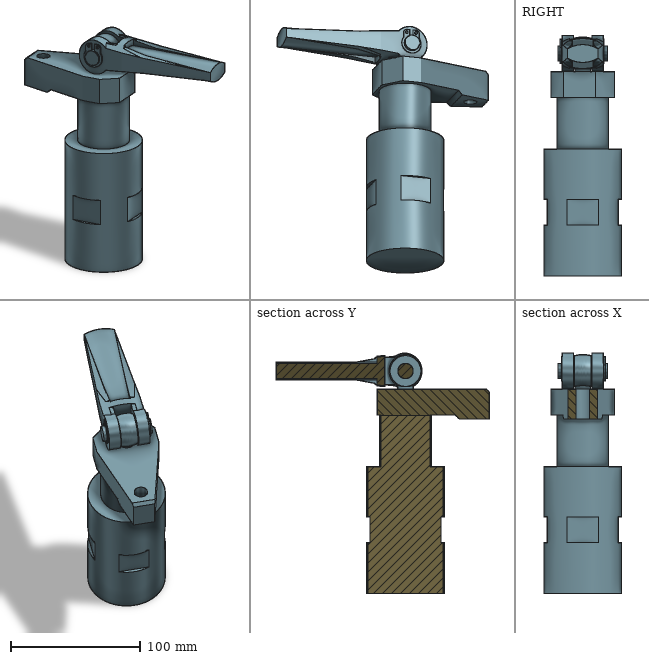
import cadquery as cq
import math

HOUSING_DIAMETER = 60.0
HOUSING_HEIGHT = 98.2
FLAT_BOTTOM = 39.5
FLAT_TOP = 59.3
FLAT_DISTANCE = 27.5
ROD_DIAMETER = 40.2
NECK_DIAMETER = 12.3
EYE_RADIUS = 12.8
EYE_EDGE_RADIUS = 11.9
EYE_WIDTH = 13.0

PIN_HEIGHT = 172.0
PIN_DIAMETER = 11.9
PIN_LENGTH = 38.3
CHEEK_RADIUS = 14.0
CHEEK_NOSE_X = -12.8
CHEEK_OUTER_Y = 16.0
CHEEK_INNER_Y = 7.0

CLIP_THICKNESS = 1.3
CLIP_RADIUS = 7.8
LUG_HALF_WIDTH = 6.3
LUG_TOP = 11.2
LUG_CORNER = 2.8
LUG_GAP = 2.6
LUG_HOLE_DIAMETER = 2.0
LUG_HOLE_X = 3.7
LUG_HOLE_Z = 9.0
FRONT_CLIP_Y = -17.7
BACK_CLIP_Y = 15.3

ARM_TOP = PIN_HEIGHT - CHEEK_RADIUS
ARM_BOTTOM = 138.0
ARM_TIP_X = -65.0
ARM_TIP_HALF_WIDTH = 8.4
ARM_HALF_WIDTH = 24.5
ARM_WIDE_START_X = -5.2
ARM_WIDE_END_X = 9.7
ARM_END_X = 22.0
ARM_END_FRONT_Y = -14.9
ARM_END_BACK_Y = 10.0
NOSE_DROP = 3.2
NOSE_END_X = -41.7
TIP_CHAMFER = 2.5
ARM_HOLE_X = -52.8
ARM_HOLE_DIAMETER = 10.0

LEVER_END_X = 100.0
LEVER_END_HALF_WIDTH = 11.9
TAPER_START_X = 24.5
COLLAR_END_X = 23.5
RAMP_TOP = 9.7
RAMP_END_X = 41.3
RAMP_END_HEIGHT = 6.3
CROWN_RADIUS = 37.2
CROWN_HEIGHT = 13.5
CROWN_SLOPE = 0.1
SLOT_END_X = 16.0
LEDGE_HALF_WIDTH = 10.2
LEDGE_HEIGHT = 10.6
GRIP_START_X = 22.1
GRIP_START_HALF_WIDTH = 7.8
GRIP_RADIUS = 23.0
GRIP_HEIGHT = 6.9

CLEARANCE = 37.2


def slab(x_start, x_end, y_half, z_low, z_high):
    """Block that is symmetric about the XZ plane."""
    return cq.Workplane("XY").box(
        x_end - x_start, 2 * y_half, z_high - z_low, centered=False
    ).translate((x_start, -y_half, z_low))


def y_cylinder(radius, y_start, y_end):
    """Cylinder along Y around the pin axis."""
    return cq.Workplane("XZ", origin=(0, y_start, PIN_HEIGHT)).circle(radius).extrude(y_start - y_end)


def make_cylinder():
    """Housing with four wrench flats, rod, and neck with a barrel-shaped eye for the pin."""
    body = cq.Workplane("XY").circle(HOUSING_DIAMETER / 2).extrude(HOUSING_HEIGHT)
    flat_cut = slab(FLAT_DISTANCE, FLAT_DISTANCE + CLEARANCE, CLEARANCE, FLAT_BOTTOM, FLAT_TOP)
    for quarter in range(4):
        body = body.cut(flat_cut.rotate((0, 0, 0), (0, 0, 1), 90 * quarter))

    rod = cq.Workplane("XY").circle(ROD_DIAMETER / 2).extrude(ARM_BOTTOM)
    neck = cq.Workplane("XY").circle(NECK_DIAMETER / 2).extrude(PIN_HEIGHT)
    eye = (
        cq.Workplane("XY", origin=(0, 0, PIN_HEIGHT))
        .moveTo(0, -EYE_WIDTH / 2)
        .lineTo(EYE_EDGE_RADIUS, -EYE_WIDTH / 2)
        .threePointArc((EYE_RADIUS, 0), (EYE_EDGE_RADIUS, EYE_WIDTH / 2))
        .lineTo(0, EYE_WIDTH / 2)
        .close()
        .revolve(360, (0, 0), (0, 1))
    )
    pin_bore = y_cylinder(PIN_DIAMETER / 2, -EYE_WIDTH, EYE_WIDTH)
    return body.union(rod).union(neck).union(eye).cut(pin_bore)


def make_arm():
    """Tapered clamp arm with a dropped nose, clamped over the neck."""
    nose_bottom = ARM_BOTTOM - NOSE_DROP
    plan = (
        cq.Workplane("XY", origin=(0, 0, nose_bottom))
        .moveTo(ARM_TIP_X, -ARM_TIP_HALF_WIDTH)
        .lineTo(ARM_WIDE_START_X, -ARM_HALF_WIDTH)
        .lineTo(ARM_WIDE_END_X, -ARM_HALF_WIDTH)
        .lineTo(ARM_END_X, ARM_END_FRONT_Y)
        .lineTo(ARM_END_X, ARM_END_BACK_Y)
        .lineTo(ARM_WIDE_END_X, ARM_HALF_WIDTH)
        .lineTo(ARM_WIDE_START_X, ARM_HALF_WIDTH)
        .lineTo(ARM_TIP_X, ARM_TIP_HALF_WIDTH)
        .close()
        .extrude(ARM_TOP - nose_bottom)
    )
    side = (
        cq.Workplane("XZ")
        .moveTo(ARM_TIP_X, nose_bottom)
        .lineTo(NOSE_END_X, nose_bottom)
        .lineTo(NOSE_END_X + NOSE_DROP, ARM_BOTTOM)
        .lineTo(ARM_END_X, ARM_BOTTOM)
        .lineTo(ARM_END_X, ARM_TOP)
        .lineTo(ARM_TIP_X + TIP_CHAMFER, ARM_TOP)
        .lineTo(ARM_TIP_X, ARM_TOP - TIP_CHAMFER)
        .close()
        .extrude(CLEARANCE, both=True)
    )
    tip_hole = cq.Workplane("XY").center(ARM_HOLE_X, 0).circle(ARM_HOLE_DIAMETER / 2).extrude(ARM_TOP)
    neck_hole = cq.Workplane("XY").circle(NECK_DIAMETER / 2).extrude(ARM_TOP)
    return plan.intersect(side).cut(tip_hole).cut(neck_hole)


def make_clip(y_face):
    """Retaining clip: ring with two lugs above it; y_face is its -Y face."""
    back = y_face + CLIP_THICKNESS
    plane = cq.Workplane("XZ", origin=(0, back, PIN_HEIGHT))
    ring = plane.circle(CLIP_RADIUS).extrude(CLIP_THICKNESS)
    lugs = (
        plane.center(0, LUG_TOP / 2).rect(2 * LUG_HALF_WIDTH, LUG_TOP).extrude(CLIP_THICKNESS)
        .edges("|Y and >Z").fillet(LUG_CORNER)
    )
    gap = plane.center(0, LUG_TOP / 2).rect(LUG_GAP, LUG_TOP).extrude(CLIP_THICKNESS)
    lug_holes = (
        plane.pushPoints([(-LUG_HOLE_X, LUG_HOLE_Z), (LUG_HOLE_X, LUG_HOLE_Z)])
        .circle(LUG_HOLE_DIAMETER / 2).extrude(CLIP_THICKNESS)
    )
    return ring.union(lugs).cut(gap).cut(lug_holes)


def make_cheek(y_start, y_end):
    """Clevis cheek around the pin: a semicircle towards the handle and a flatter arc away from it."""
    return (
        cq.Workplane("XZ", origin=(0, y_start, PIN_HEIGHT))
        .moveTo(0, -CHEEK_RADIUS)
        .threePointArc((CHEEK_RADIUS, 0), (0, CHEEK_RADIUS))
        .threePointArc((CHEEK_NOSE_X, 0), (0, -CHEEK_RADIUS))
        .close()
        .extrude(y_start - y_end)
    )


def round_lens(radius, height, slope):
    """Solid between two equal arched faces that sink towards the XY plane by slope per unit of X."""
    lens = None
    for side in (1, -1):
        axis_start = cq.Vector(-CLEARANCE, 0, side * (height - radius + slope * CLEARANCE))
        direction = cq.Vector(1, 0, -side * slope)
        length = LEVER_END_X + 2 * CLEARANCE
        arch = cq.Workplane(cq.Solid.makeCylinder(radius, length, axis_start, direction))
        lens = arch if lens is None else lens.intersect(arch)
    return lens


def trapezoid(x_start, half_start):
    """Tall prism that narrows or widens from x_start to the lever end."""
    return (
        cq.Workplane("XY")
        .polyline([
            (x_start, -half_start),
            (LEVER_END_X, -LEVER_END_HALF_WIDTH),
            (LEVER_END_X, LEVER_END_HALF_WIDTH),
            (x_start, half_start),
        ])
        .close()
        .extrude(CLEARANCE, both=True)
    )


def make_handle():
    """Handle around the XY plane: crowned collar, ramps, wedge and rounded grip."""
    wedge_end = GRIP_HEIGHT - GRIP_RADIUS + math.sqrt(GRIP_RADIUS**2 - LEVER_END_HALF_WIDTH**2)
    upper_side = [
        (0, CROWN_HEIGHT),
        (COLLAR_END_X, CROWN_HEIGHT),
        (COLLAR_END_X, RAMP_TOP),
        (RAMP_END_X, RAMP_END_HEIGHT),
        (LEVER_END_X, wedge_end),
    ]
    lower_side = [(x, -z) for x, z in reversed(upper_side)]
    side = cq.Workplane("XZ").polyline(upper_side + lower_side).close().extrude(CLEARANCE, both=True)
    plan = slab(0, TAPER_START_X, CHEEK_OUTER_Y, -CLEARANCE, CLEARANCE).union(
        trapezoid(TAPER_START_X, CHEEK_OUTER_Y)
    )
    crown = round_lens(CROWN_RADIUS, CROWN_HEIGHT, CROWN_SLOPE).union(
        slab(RAMP_END_X, LEVER_END_X, CLEARANCE, -CLEARANCE, CLEARANCE)
    )
    grip_plan = trapezoid(GRIP_START_X, GRIP_START_HALF_WIDTH)
    grip = grip_plan.intersect(round_lens(GRIP_RADIUS, GRIP_HEIGHT, 0))
    handle = plan.intersect(side).intersect(crown).cut(grip_plan).union(grip)

    eye_slot = slab(0, SLOT_END_X, CHEEK_INNER_Y, -CLEARANCE, CLEARANCE)
    upper_ledge = slab(0, SLOT_END_X, LEDGE_HALF_WIDTH, LEDGE_HEIGHT, CLEARANCE)
    lower_ledge = slab(0, SLOT_END_X, LEDGE_HALF_WIDTH, -CLEARANCE, -LEDGE_HEIGHT)
    return handle.cut(eye_slot).cut(upper_ledge).cut(lower_ledge)


def make_lever():
    """Lever with its two clevis cheeks, the pin and the pin's retaining clips."""
    lever = make_handle().translate((0, 0, PIN_HEIGHT))
    lever = lever.union(make_cheek(-CHEEK_OUTER_Y, -CHEEK_INNER_Y))
    lever = lever.union(make_cheek(CHEEK_INNER_Y, CHEEK_OUTER_Y))
    lever = lever.union(y_cylinder(PIN_DIAMETER / 2, -PIN_LENGTH / 2, PIN_LENGTH / 2))
    for y_face in (FRONT_CLIP_Y, BACK_CLIP_Y):
        lever = lever.union(make_clip(y_face))
    return lever


cylinder = make_cylinder()
arm = make_arm()
lever = make_lever()

result = cq.Compound.makeCompound([body.solids().val() for body in (cylinder, arm, lever)])